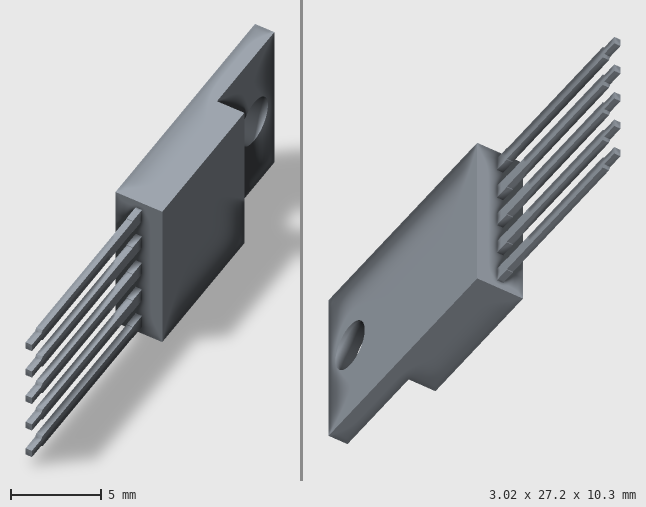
import cadquery as cq

total_length = 27.2
package_width = 10.3
body_thickness = 3.02

tab_length = 6.25
tab_thickness = 1.25
hole_diameter = 3.0
hole_from_tab_end = 2.2

lead_count = 5
lead_pitch = 2.1
lead_thickness = 0.4
lead_length = 12.0
root_width = 0.87
root_length = 1.0
shank_width = 0.8
tip_width = 0.5
tip_length = 1.03
taper_length = 0.14

tab_end_y = total_length / 2
lead_tip_y = -total_length / 2
body_front_y = lead_tip_y + lead_length
body_back_y = tab_end_y - tab_length
root_end_y = body_front_y - root_length
tip_start_y = lead_tip_y + tip_length
shank_end_y = tip_start_y + taper_length
mounting_face_x = -body_thickness / 2


def make_block(thickness, start_y, end_y):
    """Full-width block standing on the mounting face."""
    return cq.Workplane("XY").box(
        thickness, end_y - start_y, package_width, centered=(False, False, True)
    ).translate((mounting_face_x, start_y, 0))


def make_lead(center_z):
    """Flat lead with a wide root and a tapered step down to its tip."""
    side = [
        (body_front_y, root_width / 2),
        (root_end_y, root_width / 2),
        (root_end_y, shank_width / 2),
        (shank_end_y, shank_width / 2),
        (tip_start_y, tip_width / 2),
        (lead_tip_y, tip_width / 2),
    ]
    other_side = [(y, -z) for y, z in reversed(side)]
    return (
        cq.Workplane("YZ")
        .polyline(side + other_side)
        .close()
        .extrude(lead_thickness / 2, both=True)
        .translate((0, 0, center_z))
    )


body = make_block(body_thickness, body_front_y, body_back_y)
tab = make_block(tab_thickness, body_back_y, tab_end_y)

hole = (
    cq.Workplane("YZ", origin=(mounting_face_x, 0, 0))
    .center(tab_end_y - hole_from_tab_end, 0)
    .circle(hole_diameter / 2)
    .extrude(tab_thickness)
)

result = body.union(tab).cut(hole)
for index in range(lead_count):
    lead_z = (index - (lead_count - 1) / 2) * lead_pitch
    result = result.union(make_lead(lead_z))